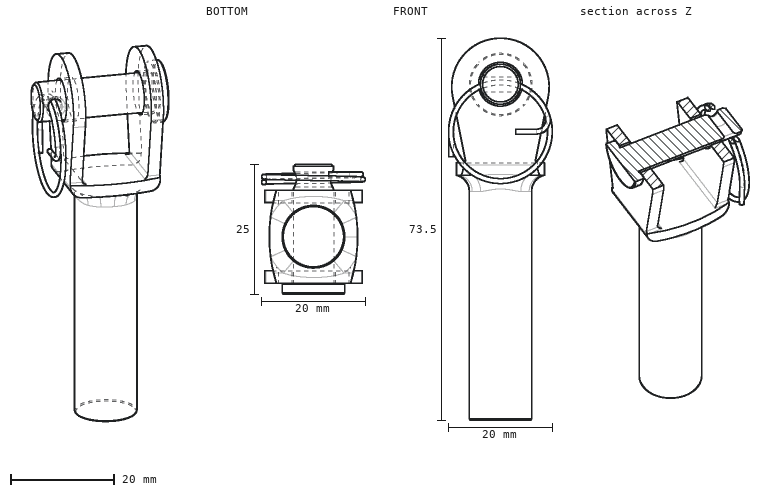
import cadquery as cq
import math

SHANK_DIAMETER = 12.05
SHANK_END_CHAMFER = 0.2
FORK_WIDTH = 17.9
LUG_THICKNESS = 2.4
LUG_RADIUS = 9.4
FORK_TOP = 73.5
LUG_CENTER_Z = FORK_TOP - LUG_RADIUS
LUG_FOOT_HALF_WIDTH = 6.75
PLATE_TOP = 49.55
PLATE_THICKNESS = 2.4
PLATE_BOTTOM = PLATE_TOP - PLATE_THICKNESS
PLATE_HALF_LENGTH = 8.5
PLATE_SIDE_RADIUS = 29.4
PLATE_EDGE_RADIUS = 2.0
INNER_CORNER_RADIUS = 0.7
FOOT_FLARE = 0.45
NECK_RADIUS = 3.1

PIN_DIAMETER = 7.7
PIN_CLEARANCE = 0.4
PIN_Z = 64.6
PIN_END_Y = -14.0
PIN_END_CHAMFER = 0.45
HEAD_DIAMETER = 12.05
HEAD_THICKNESS = 2.05
HEAD_CHAMFER = 0.2
CLIP_HOLE_Y = -11.0
CLIP_HOLE_DIAMETER = 2.9
CLIP_HOLE_ROUNDING = 0.45

WIRE_DIAMETER = 0.95
COIL_OUTER_DIAMETER = 20.0
COIL_RADIUS = (COIL_OUTER_DIAMETER - WIRE_DIAMETER) / 2
COIL_PITCH = 1.0
COIL_Z = 55.5
COIL_START_Y = -10.5
START_TAIL_LENGTH = 4.85
END_TAIL_LENGTH = 3.9
BEND_RADIUS = 2.3
COIL_POINTS_PER_TURN = 24

SELECTION_MARGIN = 0.1


def lug_outline():
    """Outline of a lug: round top with tangent sides that taper down to a flared foot."""
    foot_z = PLATE_TOP + FOOT_FLARE
    drop = LUG_CENTER_Z - foot_z
    foot_distance = math.hypot(LUG_FOOT_HALF_WIDTH, drop)
    taper = math.asin(LUG_RADIUS / foot_distance) - math.atan2(LUG_FOOT_HALF_WIDTH, drop)
    tangent_x = LUG_RADIUS * math.cos(taper)
    tangent_z = LUG_CENTER_Z - LUG_RADIUS * math.sin(taper)
    flare_x = LUG_FOOT_HALF_WIDTH + FOOT_FLARE
    flare_offset = FOOT_FLARE * (1 - math.sqrt(0.5))
    flare_mid_x = LUG_FOOT_HALF_WIDTH + flare_offset
    flare_mid_z = PLATE_TOP + flare_offset
    return (
        cq.Workplane("XZ")
        .moveTo(-flare_x, PLATE_TOP)
        .threePointArc((-flare_mid_x, flare_mid_z), (-LUG_FOOT_HALF_WIDTH, foot_z))
        .lineTo(-tangent_x, tangent_z)
        .threePointArc((0, FORK_TOP), (tangent_x, tangent_z))
        .lineTo(LUG_FOOT_HALF_WIDTH, foot_z)
        .threePointArc((flare_mid_x, flare_mid_z), (flare_x, PLATE_TOP))
        .lineTo(flare_x, PLATE_BOTTOM)
        .lineTo(-flare_x, PLATE_BOTTOM)
        .close()
    )


def bulged_block(bottom, top):
    """Block with the plan shape of the base plate: straight ends and bulged sides."""
    half_width = FORK_WIDTH / 2
    bulge = PLATE_SIDE_RADIUS - math.sqrt(PLATE_SIDE_RADIUS**2 - half_width**2)
    corner_x = PLATE_HALF_LENGTH - bulge
    return (
        cq.Workplane("XY", origin=(0, 0, bottom))
        .moveTo(corner_x, -half_width)
        .threePointArc((PLATE_HALF_LENGTH, 0), (corner_x, half_width))
        .lineTo(-corner_x, half_width)
        .threePointArc((-PLATE_HALF_LENGTH, 0), (-corner_x, -half_width))
        .close()
        .extrude(top - bottom)
    )


def make_fork_head():
    """U-shaped head: base plate and two lugs with rounded corners."""
    foot_z = PLATE_TOP + FOOT_FLARE
    lugs = lug_outline().extrude(FORK_WIDTH / 2, both=True)
    foot_zone = bulged_block(PLATE_BOTTOM, foot_z)
    upper_zone = (
        cq.Workplane("XY", origin=(0, 0, foot_z))
        .rect(2 * LUG_RADIUS, FORK_WIDTH).extrude(FORK_TOP - foot_z)
    )
    plate = bulged_block(PLATE_BOTTOM, PLATE_TOP)
    solid_head = lugs.intersect(upper_zone).union(lugs.intersect(foot_zone)).union(plate)

    height = FORK_TOP - PLATE_BOTTOM
    length = 2 * LUG_RADIUS
    u_block = (
        cq.Workplane("XY", origin=(0, 0, PLATE_BOTTOM))
        .box(length, FORK_WIDTH, height, centered=(True, True, False))
        .edges("|X and <Z").fillet(PLATE_EDGE_RADIUS)
    )
    gap = (
        cq.Workplane("XY", origin=(0, 0, PLATE_TOP))
        .box(length, FORK_WIDTH - 2 * LUG_THICKNESS, height, centered=(True, True, False))
        .edges("|X and <Z").fillet(INNER_CORNER_RADIUS)
    )
    return solid_head.intersect(u_block.cut(gap))


def make_fork():
    """Round shank blended into the fork head, with the pin hole through both lugs."""
    shank = cq.Workplane("XY").circle(SHANK_DIAMETER / 2).extrude(PLATE_BOTTOM)
    shank = shank.faces("<Z").chamfer(SHANK_END_CHAMFER)
    fork = make_fork_head().union(shank)
    seam_reach = SHANK_DIAMETER / 2 + SELECTION_MARGIN
    neck_seam = cq.selectors.BoxSelector(
        (-seam_reach, -seam_reach, PLATE_BOTTOM - SELECTION_MARGIN),
        (seam_reach, seam_reach, PLATE_BOTTOM + SELECTION_MARGIN), boundingbox=True)
    fork = fork.edges(neck_seam).fillet(NECK_RADIUS)
    pin_hole = (
        cq.Workplane("XZ", origin=(0, 0, PIN_Z))
        .circle(PIN_DIAMETER / 2 + PIN_CLEARANCE)
        .extrude(FORK_WIDTH, both=True)
    )
    return fork.cut(pin_hole)


def make_pin():
    """Headed pin along Y with a rounded cross hole for the clip."""
    head_seat_y = FORK_WIDTH / 2
    head = (
        cq.Workplane("XZ", origin=(0, head_seat_y, PIN_Z))
        .circle(HEAD_DIAMETER / 2).extrude(-HEAD_THICKNESS)
        .faces("<Y or >Y").chamfer(HEAD_CHAMFER)
    )
    shaft = (
        cq.Workplane("XZ", origin=(0, head_seat_y, PIN_Z))
        .circle(PIN_DIAMETER / 2).extrude(head_seat_y - PIN_END_Y)
        .faces("<Y").chamfer(PIN_END_CHAMFER)
    )
    clip_hole = (
        cq.Workplane("YZ", origin=(0, CLIP_HOLE_Y, PIN_Z))
        .circle(CLIP_HOLE_DIAMETER / 2).extrude(PIN_DIAMETER, both=True)
    )
    rim = CLIP_HOLE_DIAMETER / 2 + SELECTION_MARGIN
    rims = cq.selectors.BoxSelector(
        (-PIN_DIAMETER, CLIP_HOLE_Y - rim, PIN_Z - rim),
        (PIN_DIAMETER, CLIP_HOLE_Y + rim, PIN_Z + rim), boundingbox=True)
    shaft = shaft.cut(clip_hole).edges(rims).fillet(CLIP_HOLE_ROUNDING)
    return shaft.union(head)


def coil_point(turn):
    """Point on the coil centre line; it starts at -X and first climbs over the top."""
    x = -COIL_RADIUS * math.cos(turn)
    y = COIL_START_Y - COIL_PITCH * turn / (2 * math.pi)
    z = COIL_Z + COIL_RADIUS * math.sin(turn)
    return cq.Vector(x, y, z)


def coil_tangent(turn):
    """Derivative of the coil centre line with respect to its turn angle."""
    x = COIL_RADIUS * math.sin(turn)
    z = COIL_RADIUS * math.cos(turn)
    return cq.Vector(x, -COIL_PITCH / (2 * math.pi), z)


def make_clip():
    """Wire clip: straight tail, coil of about one and a half turns, inward bend and straight tail."""
    bend_angle = math.asin(BEND_RADIUS / (COIL_RADIUS - BEND_RADIUS))
    coil_turn = 3 * math.pi - bend_angle
    steps = math.ceil(COIL_POINTS_PER_TURN * coil_turn / (2 * math.pi))
    turns = [coil_turn * i / steps for i in range(steps + 1)]
    coil_points = [coil_point(turn) for turn in turns]
    coil_start, coil_end = coil_points[0], coil_points[-1]
    start_tangent, end_tangent = coil_tangent(0), coil_tangent(coil_turn)
    start_direction = start_tangent.normalized()
    end_direction = end_tangent.normalized()
    inward = cq.Vector(-1, 0, 0)

    bend_center = cq.Vector(
        (COIL_RADIUS - BEND_RADIUS) * math.cos(bend_angle), coil_end.y, COIL_Z + BEND_RADIUS)
    mid_angle = (bend_angle - math.pi / 2) / 2
    bend_middle = bend_center + cq.Vector(math.cos(mid_angle), 0, math.sin(mid_angle)) * BEND_RADIUS
    bend_end = bend_center - cq.Vector(0, 0, BEND_RADIUS)

    tail_start = coil_start - start_direction * START_TAIL_LENGTH
    tail_end = bend_end + inward * END_TAIL_LENGTH
    center_line = cq.Wire.assembleEdges([
        cq.Edge.makeLine(tail_start, coil_start),
        cq.Edge.makeSpline(
            coil_points, tangents=[start_tangent, end_tangent], parameters=turns, scale=False),
        cq.Edge.makeSpline([coil_end, bend_middle, bend_end], tangents=[end_direction, inward]),
        cq.Edge.makeLine(bend_end, tail_end),
    ])
    section = cq.Workplane(cq.Plane(origin=tail_start, xDir=(1, 0, 0), normal=start_direction))
    return section.circle(WIRE_DIAMETER / 2).sweep(cq.Workplane(center_line))


fork = make_fork()
pin = make_pin()
clip = make_clip()

result = cq.Compound.makeCompound([fork.solids().val(), pin.solids().val(), clip.solids().val()])